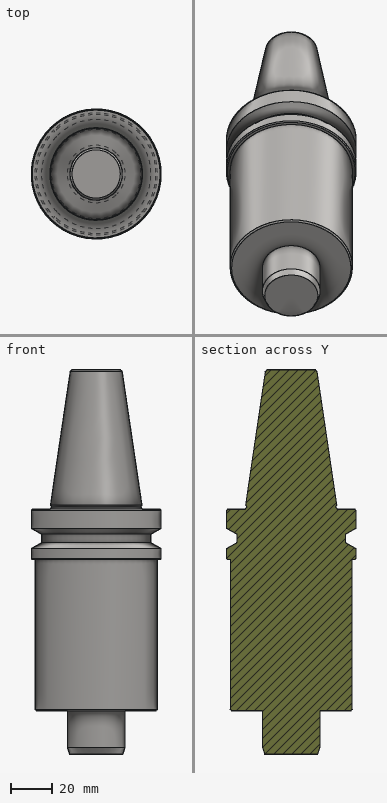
import cadquery as cq

total_length = 186.4
pilot_length = 21.0
body_length = 73.3
lower_flange_height = 5.4
groove_floor_height = 4.1
upper_flange_height = 9.3
neck_foot_height = 1.1
neck_flare_height = 1.0

pilot_diameter = 28.0
body_diameter = 59.3
flange_diameter = 63.0
groove_diameter = 53.0
taper_large_diameter = 44.4
neck_diameter = 43.2
neck_foot_diameter = 45.0
taper_ratio = 7 / 24

pilot_chamfer_width = 1.1
pilot_chamfer_height = 3.4
body_chamfer = 0.7
flange_chamfer = 0.5
taper_tip_chamfer = 1.0
groove_flank_slope = 0.56

pilot_radius = pilot_diameter / 2
body_radius = body_diameter / 2
flange_radius = flange_diameter / 2
groove_radius = groove_diameter / 2
neck_radius = neck_diameter / 2
neck_foot_radius = neck_foot_diameter / 2
taper_large_radius = taper_large_diameter / 2

groove_flank_height = (flange_radius - groove_radius) * groove_flank_slope
body_top = pilot_length + body_length
lower_flange_top = body_top + lower_flange_height
groove_floor_bottom = lower_flange_top + groove_flank_height
groove_floor_top = groove_floor_bottom + groove_floor_height
upper_flange_bottom = groove_floor_top + groove_flank_height
upper_flange_top = upper_flange_bottom + upper_flange_height
neck_waist = upper_flange_top + neck_foot_height
taper_bottom = neck_waist + neck_flare_height
taper_tip_radius = taper_large_radius - (total_length - taper_bottom) * taper_ratio / 2

half_profile = [
    (0, 0),
    (pilot_radius - pilot_chamfer_width, 0),
    (pilot_radius, pilot_chamfer_height),
    (pilot_radius, pilot_length),
    (body_radius - body_chamfer, pilot_length),
    (body_radius, pilot_length + body_chamfer),
    (body_radius, body_top),
    (flange_radius - flange_chamfer, body_top),
    (flange_radius, body_top + flange_chamfer),
    (flange_radius, lower_flange_top),
    (groove_radius, groove_floor_bottom),
    (groove_radius, groove_floor_top),
    (flange_radius, upper_flange_bottom),
    (flange_radius, upper_flange_top - flange_chamfer),
    (flange_radius - flange_chamfer, upper_flange_top),
    (neck_foot_radius, upper_flange_top),
    (neck_radius, neck_waist),
    (taper_large_radius, taper_bottom),
    (taper_tip_radius, total_length - taper_tip_chamfer),
    (taper_tip_radius - taper_tip_chamfer, total_length),
    (0, total_length),
]

turned = cq.Workplane("XZ").polyline(half_profile).close().revolve(360, (0, 0), (0, 1))
result = turned.translate((0, 0, -total_length / 2))